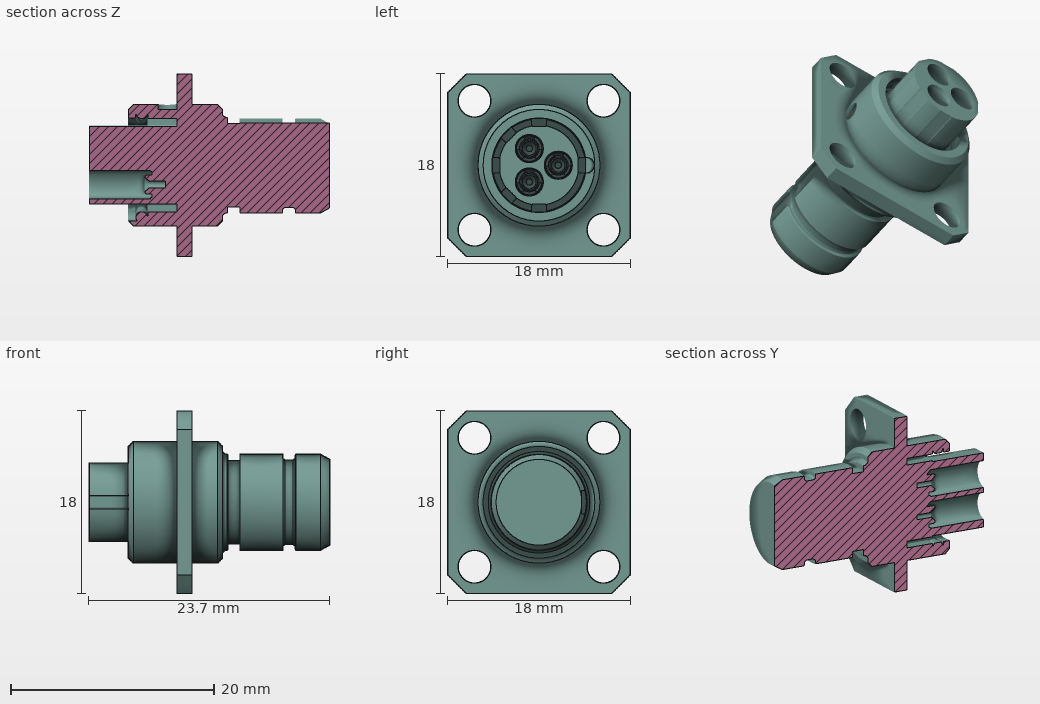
import cadquery as cq
import math


flange_size = 18.0
flange_thickness = 1.5
flange_corner_chamfer = 1.85
mounting_hole_diameter = 3.2
mounting_hole_spacing = 12.7

shell_radius = 6.0
shell_front_x = -4.8
shell_rear_x = 4.5
shell_chamfer = 0.5
bore_radius = 4.65
bore_depth = 1.92
bore_floor_x = shell_front_x + bore_depth

seal_lip_width = 0.75
seal_overlap = 0.01
seal_inner_radius = 4.56
seal_section_radius = (bore_depth - seal_lip_width) / 2 + seal_overlap
seal_centre_radius = seal_inner_radius + seal_section_radius
seal_centre_x = shell_front_x + (bore_depth + seal_lip_width) / 2

collar_radius = 4.73
collar_fillet_height = 0.27
collar_rear_x = 5.0
collar_relief_width = 0.07
collar_relief_depth = 0.06
neck_radius = 4.12

barrel_radius = collar_radius
barrel_front_x = 6.2
barrel_rear_x = 15.05
barrel_taper_length = 0.92
barrel_tip_radius = 4.22

groove_front_x = 10.42
groove_rear_x = 11.7
groove_floor_radius = 4.18
groove_corner_length = 0.22
groove_corner_height = 0.15
groove_lip_length = 0.06
groove_lip_height = 0.13

barrel_slot_width = 2.32
barrel_slot_floor = 4.2

insert_radius = 3.93
insert_front_x = -8.65
keyway_floor_radius = 3.83
keyway_outer_radius = 4.6
keyway_width = 1.48
keyway_corner_radius = 0.16
keyway_rear_x = 0.0
keyway_angles = (0, 90, 180, 270, 45, 315)

socket_count = 3
socket_circle_radius = 1.9
socket_first_angle = 180
socket_bore_radius = 1.38
socket_bore_depth = 6.0
socket_ledge_radius = 1.27
socket_ledge_depth = 0.15
contact_radius = 0.97
contact_height = 0.5
contact_chamfer = 0.14
contact_mouth_radius = 0.68
contact_hole_radius = 0.31
contact_funnel_depth = 0.4
contact_hole_depth = 2.0
window_count = 3
window_width_angle = 52
window_first_angle = 90
window_depth = 0.4

notch_radius = 0.75
notch_centre_radius = 4.7
index_recess_diameter = 1.86
index_recess_depth = 0.5


def rod(radius, start_x, end_x, y=0, z=0):
    """Cylinder along X."""
    length = end_x - start_x
    return cq.Workplane("YZ", origin=(start_x, y, z)).circle(radius).extrude(length)


def cone(start_radius, end_radius, start_x, end_x, y, z):
    """Truncated cone along X."""
    return cq.Workplane(
        cq.Solid.makeCone(
            start_radius, end_radius, end_x - start_x, cq.Vector(start_x, y, z), cq.Vector(1, 0, 0)
        )
    )


def make_flange():
    return (
        cq.Workplane("YZ")
        .rect(flange_size, flange_size)
        .extrude(flange_thickness)
        .edges("|X")
        .chamfer(flange_corner_chamfer)
        .faces("<X")
        .workplane(origin=(0, 0, 0))
        .rect(mounting_hole_spacing, mounting_hole_spacing, forConstruction=True)
        .vertices()
        .hole(mounting_hole_diameter)
    )


def make_turned_body():
    """Shell, collar, neck and barrel as one solid of revolution about X."""
    chamfered_radius = shell_radius - shell_chamfer
    relief_x = collar_rear_x - collar_relief_width
    fillet_length = relief_x - shell_rear_x
    fillet_radius = (fillet_length**2 + collar_fillet_height**2) / (2 * collar_fillet_height)
    fillet_mid_angle = math.asin(fillet_length / fillet_radius) / 2
    fillet_mid_x = relief_x - fillet_radius * math.sin(fillet_mid_angle)
    fillet_mid_radius = collar_radius + fillet_radius * (1 - math.cos(fillet_mid_angle))
    relief_radius = collar_radius - collar_relief_depth
    groove_corner_radius = groove_floor_radius + groove_corner_height
    groove_wall_x = groove_rear_x - groove_lip_length
    return (
        cq.Workplane("XY")
        .moveTo(shell_front_x, 0)
        .lineTo(shell_front_x, chamfered_radius)
        .lineTo(shell_front_x + shell_chamfer, shell_radius)
        .lineTo(shell_rear_x - shell_chamfer, shell_radius)
        .lineTo(shell_rear_x, chamfered_radius)
        .lineTo(shell_rear_x, collar_radius + collar_fillet_height)
        .threePointArc((fillet_mid_x, fillet_mid_radius), (relief_x, collar_radius))
        .lineTo(collar_rear_x, relief_radius)
        .lineTo(collar_rear_x, neck_radius)
        .lineTo(barrel_front_x, neck_radius)
        .lineTo(barrel_front_x, barrel_radius)
        .lineTo(groove_front_x, barrel_radius)
        .lineTo(groove_front_x, groove_corner_radius)
        .lineTo(groove_front_x + groove_corner_length, groove_floor_radius)
        .lineTo(groove_wall_x - groove_corner_length, groove_floor_radius)
        .lineTo(groove_wall_x, groove_corner_radius)
        .lineTo(groove_wall_x, barrel_radius - groove_lip_height)
        .lineTo(groove_rear_x, barrel_radius)
        .lineTo(barrel_rear_x - barrel_taper_length, barrel_radius)
        .lineTo(barrel_rear_x, barrel_tip_radius)
        .lineTo(barrel_rear_x, 0)
        .close()
        .revolve(360, (0, 0, 0), (1, 0, 0))
    )


def bore_space():
    """Bore of the shell, open at the front, with the gland of the seal ring at its bottom."""
    gland = rod(seal_centre_radius, shell_front_x + seal_lip_width, bore_floor_x)
    return rod(bore_radius, shell_front_x, bore_floor_x).union(gland)


def mouth_notch():
    """Round-bottomed axial notch through the -Y side of the lip in front of the seal ring."""
    return rod(notch_radius, shell_front_x, seal_centre_x, y=-notch_centre_radius)


def make_seal_ring():
    """Torus about X."""
    return cq.Workplane(
        cq.Solid.makeTorus(
            seal_centre_radius, seal_section_radius, cq.Vector(seal_centre_x, 0, 0), cq.Vector(1, 0, 0)
        )
    )


def keyway(angle):
    """Axial slot from the keyway floor out to the seal ring, with rounded floor corners."""
    length = keyway_rear_x - insert_front_x
    height = keyway_outer_radius - keyway_floor_radius
    centre = (
        (insert_front_x + keyway_rear_x) / 2,
        keyway_floor_radius + height / 2,
        0,
    )
    slot = (
        cq.Workplane("XY")
        .box(length, height, keyway_width)
        .translate(centre)
        .edges("|X and <Y")
        .fillet(keyway_corner_radius)
    )
    return slot.rotate((0, 0, 0), (1, 0, 0), angle)


def barrel_slot():
    """Flat-floored slot along the +Y side of the barrel."""
    return cq.Workplane("XY").box(
        barrel_rear_x - barrel_front_x,
        barrel_radius - barrel_slot_floor,
        barrel_slot_width,
        centered=(False, False, True),
    ).translate((barrel_front_x, barrel_slot_floor, 0))


def index_recess():
    """Round blind recess in the +Y side of the shell, touching the flange."""
    return (
        cq.Workplane("XZ", origin=(-index_recess_diameter / 2, shell_radius, 0))
        .circle(index_recess_diameter / 2)
        .extrude(index_recess_depth)
    )


def socket_space(y, z):
    """Socket bore around a funnelled contact, with sloped windows in its floor."""
    floor_x = insert_front_x + socket_bore_depth
    contact_x = floor_x - contact_height
    funnel_end_x = contact_x + contact_funnel_depth
    ledge_floor_x = floor_x + socket_ledge_depth
    contact = rod(contact_radius, contact_x, ledge_floor_x, y, z).faces("<X").chamfer(contact_chamfer)
    space = rod(socket_bore_radius, insert_front_x, floor_x, y, z)
    space = space.union(rod(socket_ledge_radius, floor_x, ledge_floor_x, y, z)).cut(contact)
    space = space.union(cone(contact_mouth_radius, contact_hole_radius, contact_x, funnel_end_x, y, z))
    hole_end_x = contact_x + contact_hole_depth
    space = space.union(rod(contact_hole_radius, contact_x, hole_end_x, y, z))

    window_end_x = floor_x + window_depth
    slope = cone(socket_bore_radius, contact_radius, floor_x, window_end_x, y, z)
    slope = slope.cut(rod(contact_radius, floor_x, window_end_x, y, z))
    reach = 2 * socket_bore_radius
    half_width = reach * math.tan(math.radians(window_width_angle / 2))
    for index in range(window_count):
        wedge = (
            cq.Workplane("YZ", origin=(floor_x, y, z))
            .polyline([(0, 0), (reach, -half_width), (reach, half_width)])
            .close()
            .extrude(window_depth)
            .rotate((0, y, z), (1, y, z), window_first_angle + index * 360 / window_count)
        )
        space = space.union(slope.intersect(wedge))
    return space


result = make_turned_body().union(make_flange())
result = result.cut(bore_space()).cut(index_recess()).cut(mouth_notch())
result = result.union(make_seal_ring()).union(rod(insert_radius, insert_front_x, bore_floor_x))
for keyway_angle in keyway_angles:
    result = result.cut(keyway(keyway_angle))
for socket_index in range(socket_count):
    socket_angle = math.radians(socket_first_angle + socket_index * 360 / socket_count)
    socket_y = socket_circle_radius * math.cos(socket_angle)
    socket_z = socket_circle_radius * math.sin(socket_angle)
    result = result.cut(socket_space(socket_y, socket_z))
result = result.cut(barrel_slot())